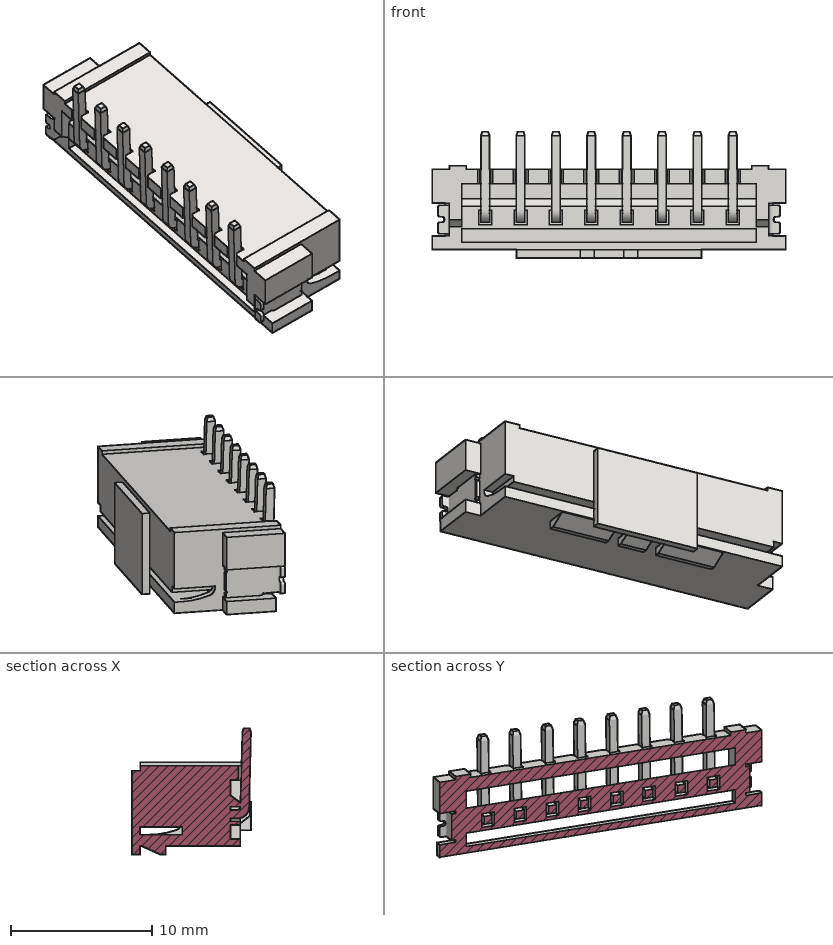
import cadquery as cq
import math


length = 25.0
body_half = 11.28
body_depth = 7.75
body_top = 5.7
wing_depth = 4.25
foot_top = 0.98
wing_bottom = 3.3
front_setback = 0.65
step_low = 1.62
step_high = 2.12
rail_inner = 10.08
rail_height = 0.25

pocket_half = 10.42
recess_depth = 0.7
recess_back = front_setback + recess_depth
pocket_top = 4.68
slope_low = 3.08
slope_high = 3.6
groove_bottom = 0.52
groove_top = 1.5

plate_width = 8.1
plate_thickness = 0.58
plate_top = 5.35
latch_drop = 0.6
latch_front = 5.92
latch_flat_end = 6.3
latch_slope_end = 7.62
latch_outer = 6.55
latch_gap_outer = 2.02
latch_gap_inner = 1.02
side_wall = 0.7
inner_half = body_half - side_wall
slot_bottom = 0.82
slot_top = 1.8
slot_front = 4.78
slot_curve_start = 7.1
slot_knee_y = 5.2
slot_knee_z = 1.15
cavity_top = 1.35

pin_count = 8
pin_pitch = 2.5
pin_size = 0.62
pin_front = -0.1
pin_top = 8.35
pin_bottom = 1.95
pin_lean = 0.15
pin_bend_radius = 0.85
pin_inner_radius = pin_bend_radius - pin_size
tip_height = 0.3
tip_inset = 0.1
socket_width = 0.92
socket_bottom = 1.78
socket_top = 2.78
notch_width = 0.75
notch_mouth = 1.05
notch_depth = 0.78

clip_thickness = 0.3
clip_reach = 12.1
clip_rear = 4.12
clip_neck = 1.32
clip_neck_step = 0.15
clip_round = 0.15
clip_notch_width = 0.38
clip_notch_end = 11.62
clip_inner_radius = 0.1
rear_vee_depth = 0.15
rear_vee_half_width = 0.12
rear_vee_spacing = 1.52
clip_rear_bevel = 0.08


def block(x0, x1, y0, y1, z0, z1):
    """Box between opposite corner coordinates."""
    return cq.Workplane("XY").box(x1 - x0, y1 - y0, z1 - z0, centered=False).translate((x0, y0, z0))


def extrude_along_x(points, x0, x1):
    """Prism from a YZ outline, spanning x0 to x1."""
    return cq.Workplane("YZ").workplane(offset=x0).polyline(points).close().extrude(x1 - x0)


def both_sides(shape):
    """The shape together with its mirror image in the YZ plane."""
    return shape.union(shape.mirror("YZ"))


def make_shell():
    profile = [
        (front_setback, 0),
        (body_depth, 0),
        (body_depth, body_top),
        (0, body_top),
        (0, step_high),
        (front_setback, step_low),
    ]
    shell = extrude_along_x(profile, -body_half, body_half)
    wing = block(body_half, length / 2, 0, wing_depth, wing_bottom, body_top)
    foot = block(body_half, length / 2, front_setback, wing_depth, 0, foot_top)
    rail = block(rail_inner, body_half, 0, body_depth, body_top, body_top + rail_height)
    return shell.union(both_sides(wing)).union(both_sides(foot)).union(both_sides(rail))


def make_front_recesses():
    pocket_profile = [
        (0, 0),
        (front_setback, 0),
        (front_setback, slope_low),
        (recess_back, slope_high),
        (recess_back, pocket_top),
        (0, pocket_top),
    ]
    pocket = extrude_along_x(pocket_profile, -pocket_half, pocket_half)
    groove = block(-pocket_half, pocket_half, front_setback, recess_back, groove_bottom, groove_top)
    return pocket.union(groove)


def make_side_slot():
    """Slot through a side wall, open to the rear; its floor curves up gently, then sharply, at the front."""
    return (
        cq.Workplane("YZ", origin=(inner_half, 0, 0))
        .moveTo(body_depth, slot_top)
        .lineTo(body_depth, slot_bottom)
        .lineTo(slot_curve_start, slot_bottom)
        .tangentArcPoint((slot_knee_y, slot_knee_z), relative=False)
        .tangentArcPoint((slot_front, slot_top), relative=False)
        .close()
        .extrude(side_wall)
    )


def make_rear_plate():
    half = plate_width / 2
    return block(-half, half, body_depth, body_depth + plate_thickness, -latch_drop, plate_top)


def make_latches():
    profile = [
        (latch_front, 0),
        (latch_front, -latch_drop),
        (latch_flat_end, -latch_drop),
        (latch_slope_end, 0),
    ]
    outer = extrude_along_x(profile, latch_gap_outer, latch_outer)
    center = extrude_along_x(profile, -latch_gap_inner, latch_gap_inner)
    return center.union(both_sides(outer))


def make_pin_opening(x):
    """Socket behind the bend, and the flared notch where the pin passes the upper lip."""
    socket = block(
        x - socket_width / 2, x + socket_width / 2, front_setback, recess_back, socket_bottom, socket_top
    )
    flare = (notch_mouth - notch_width) / 2
    notch_outline = [
        (x - notch_mouth / 2, 0),
        (x - notch_width / 2, flare),
        (x - notch_width / 2, notch_depth),
        (x + notch_width / 2, notch_depth),
        (x + notch_width / 2, flare),
        (x + notch_mouth / 2, 0),
    ]
    notch = (
        cq.Workplane("XY", origin=(0, 0, pocket_top))
        .polyline(notch_outline)
        .close()
        .extrude(body_top - pocket_top)
    )
    return socket.union(notch)


def make_pin(x):
    """Square pin leaning slightly forward, bent back into its socket, with a tapered tip."""
    shoulder = pin_top - tip_height
    heel = pin_front + pin_lean
    tail_top = pin_bottom + pin_size
    profile = [
        (pin_front, shoulder),
        (pin_front + pin_size, shoulder),
        (heel + pin_size, tail_top),
        (recess_back, tail_top),
        (recess_back, pin_bottom),
        (heel, pin_bottom),
    ]
    pin = extrude_along_x(profile, x - pin_size / 2, x + pin_size / 2)
    outer_bend = cq.selectors.NearestToPointSelector((x, heel, pin_bottom))
    pin = pin.edges(outer_bend).fillet(pin_bend_radius)
    inner_bend = cq.selectors.NearestToPointSelector((x, heel + pin_size, tail_top))
    pin = pin.edges(inner_bend).fillet(pin_inner_radius)
    tip = (
        cq.Workplane("XY", origin=(x, pin_front + pin_size / 2, shoulder))
        .rect(pin_size, pin_size)
        .extrude(tip_height, taper=math.degrees(math.atan(tip_inset / tip_height)))
    )
    return pin.union(tip)


def make_clip():
    """Flat plate on the housing side whose front end bends outward into a forked tab."""
    plate_outer = body_half + clip_thickness
    tab_back = pin_front + clip_thickness
    tab_bottom = foot_top + clip_neck_step
    tab_top = wing_bottom - clip_neck_step
    middle = (foot_top + wing_bottom) / 2
    outline = [
        (body_half, pin_front),
        (clip_reach, pin_front),
        (clip_reach, tab_back),
        (plate_outer, tab_back),
        (plate_outer, clip_rear - clip_rear_bevel),
        (plate_outer - clip_rear_bevel, clip_rear),
        (body_half, clip_rear),
    ]
    clip = (
        cq.Workplane("XY", origin=(0, 0, foot_top))
        .polyline(outline)
        .close()
        .extrude(wing_bottom - foot_top)
    )
    outer_bend = cq.selectors.NearestToPointSelector((body_half, pin_front, middle))
    clip = clip.edges(outer_bend).fillet(clip_thickness)
    inner_bend = cq.selectors.NearestToPointSelector((plate_outer, tab_back, middle))
    clip = clip.edges(inner_bend).fillet(clip_inner_radius)

    for plate_edge, tab_edge in ((foot_top, tab_bottom), (wing_bottom, tab_top)):
        step = [
            (pin_front, plate_edge),
            (clip_neck + clip_neck_step, plate_edge),
            (clip_neck, tab_edge),
            (pin_front, tab_edge),
        ]
        clip = clip.cut(extrude_along_x(step, body_half, clip_reach))

    notch_radius = clip_notch_width / 2
    notch_center = clip_notch_end + notch_radius
    notch_low = middle - notch_radius
    notch_high = middle + notch_radius
    notch = block(notch_center, clip_reach, pin_front, tab_back, notch_low, notch_high)
    notch_end = (
        cq.Workplane("XZ", origin=(notch_center, pin_front, middle))
        .circle(notch_radius)
        .extrude(-clip_thickness)
    )
    clip = clip.cut(notch).cut(notch_end)
    clip = clip.faces(">X").edges("|Y").fillet(clip_round)

    for z in (middle - rear_vee_spacing / 2, middle + rear_vee_spacing / 2):
        vee = [
            (clip_rear, z - rear_vee_half_width),
            (clip_rear - rear_vee_depth, z),
            (clip_rear, z + rear_vee_half_width),
        ]
        clip = clip.cut(extrude_along_x(vee, body_half, plate_outer))
    return clip


housing = make_shell().cut(make_front_recesses()).cut(both_sides(make_side_slot()))
housing = housing.cut(block(-inner_half, inner_half, slot_front, body_depth, slot_bottom, cavity_top))
housing = housing.union(make_rear_plate()).union(make_latches())

pin_positions = [(i - (pin_count - 1) / 2) * pin_pitch for i in range(pin_count)]
for pin_x in pin_positions:
    housing = housing.cut(make_pin_opening(pin_x))
    housing = housing.union(make_pin(pin_x))

result = housing.union(both_sides(make_clip()))